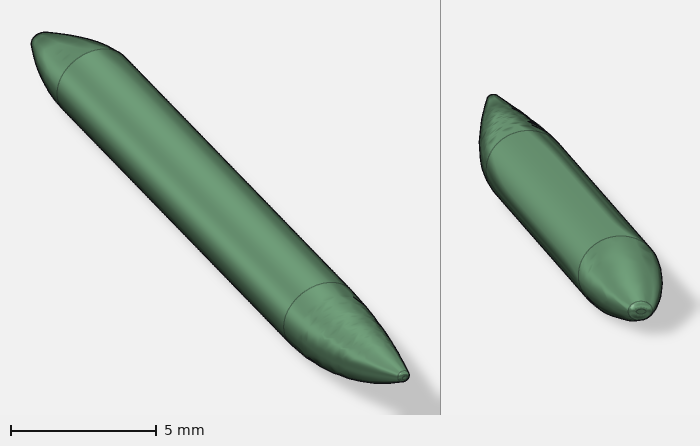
import cadquery as cq

LENGTH = 27.17
HALF_WIDTH = 1.426
HALF_HEIGHT = 1.33
LEFT_TAPER = 4.02
RIGHT_TAPER = 6.28
SHAFT_LENGTH = LENGTH - LEFT_TAPER - RIGHT_TAPER

LEFT_TIP_HALF_WIDTH = 0.35
LEFT_TIP_TOP = -0.2
LEFT_TIP_BOTTOM = -0.73
LEFT_TIP_ROUNDING = 0.27

RIGHT_TIP_HALF_WIDTH = 0.2
RIGHT_TIP_TOP = 1.25
RIGHT_TIP_BOTTOM = 0.9
RIGHT_TIP_ROUNDING = 0.14

LEFT_SIDE_FULLNESS = 1.65
LEFT_TOP_FULLNESS = 1.3
LEFT_BOTTOM_FULLNESS = 2.1
RIGHT_SIDE_FULLNESS = 1.8
RIGHT_TOP_FULLNESS = 1.2
RIGHT_BOTTOM_FULLNESS = 1.9

TAPER_STEPS = 7


def blend(tip_value, shaft_value, fraction, fullness):
    """Value at a fraction of the way from the tip (0) to the shaft (1)."""
    return shaft_value - (shaft_value - tip_value) * (1 - fraction) ** fullness


def cross_section(x, half_width, top, bottom):
    """Elliptical wire across the stick at position x."""
    center = cq.Vector(x, 0, (top + bottom) / 2)
    plane = cq.Plane(origin=center, xDir=(0, 1, 0), normal=(1, 0, 0))
    return cq.Workplane(plane).ellipse(half_width, (top - bottom) / 2).val()


def taper(tip_x, shaft_x, half_width, top, bottom, fullness):
    """Smooth taper from an end face to the full shaft section."""
    side_fullness, top_fullness, bottom_fullness = fullness
    sections = []
    for step in range(TAPER_STEPS + 1):
        fraction = step / TAPER_STEPS
        sections.append(cross_section(
            tip_x + (shaft_x - tip_x) * fraction,
            blend(half_width, HALF_WIDTH, fraction, side_fullness),
            blend(top, HALF_HEIGHT, fraction, top_fullness),
            blend(bottom, -HALF_HEIGHT, fraction, bottom_fullness),
        ))
    return cq.Workplane(obj=cq.Solid.makeLoft(sections))


shaft = (
    cq.Workplane("YZ", origin=(LEFT_TAPER, 0, 0))
    .ellipse(HALF_WIDTH, HALF_HEIGHT)
    .extrude(SHAFT_LENGTH)
)

left_end = taper(
    0, LEFT_TAPER, LEFT_TIP_HALF_WIDTH, LEFT_TIP_TOP, LEFT_TIP_BOTTOM,
    (LEFT_SIDE_FULLNESS, LEFT_TOP_FULLNESS, LEFT_BOTTOM_FULLNESS),
)
left_end = left_end.faces("<X").edges().fillet(LEFT_TIP_ROUNDING)

right_end = taper(
    LENGTH, LENGTH - RIGHT_TAPER, RIGHT_TIP_HALF_WIDTH, RIGHT_TIP_TOP, RIGHT_TIP_BOTTOM,
    (RIGHT_SIDE_FULLNESS, RIGHT_TOP_FULLNESS, RIGHT_BOTTOM_FULLNESS),
)
right_end = right_end.faces(">X").edges().fillet(RIGHT_TIP_ROUNDING)

result = shaft.union(left_end).union(right_end)